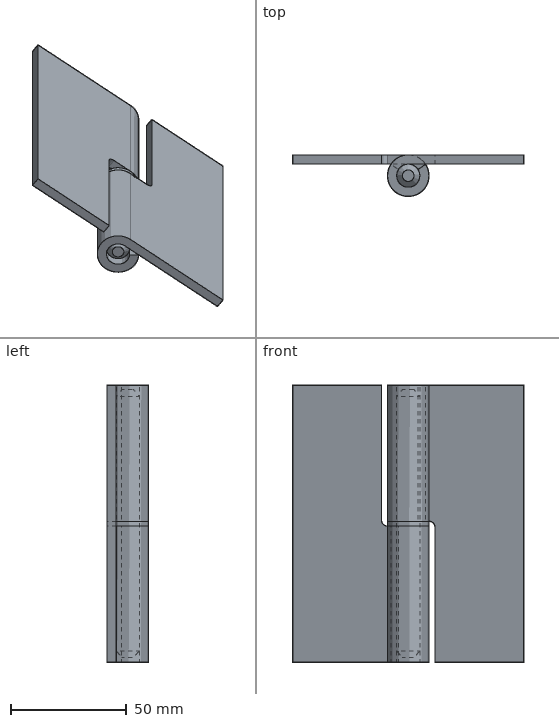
import cadquery as cq
import math

hinge_width = 100.0
hinge_height = 120.0
half_height = hinge_height / 2
sheet_thickness = 4.0

knuckle_radius = 9.0
bore_radius = knuckle_radius - sheet_thickness
curl_end_gap = 0.1
curl_end_angle = math.asin((bore_radius - curl_end_gap) / knuckle_radius)

washer_thickness = 2.0
knuckle_length = (hinge_height - washer_thickness) / 2

slot_clearance = 2.5
slot_corner_radius = slot_clearance
slot_edge = knuckle_radius + slot_clearance

pin_recess = 2.0
pin_length = hinge_height - 2 * pin_recess
pin_chamfer_width = 2.5
pin_chamfer_height = 3.0


def polar_point(radius, angle):
    return (radius * math.cos(angle), radius * math.sin(angle))


def lower_leaf():
    """Leaf on the -X side, rolled into the lower knuckle."""
    end_angle = math.pi - curl_end_angle
    profile = (
        cq.Workplane("XY", origin=(0, 0, -half_height))
        .moveTo(-hinge_width / 2, knuckle_radius)
        .lineTo(0, knuckle_radius)
        .threePointArc((0, -knuckle_radius), polar_point(knuckle_radius, end_angle))
        .lineTo(*polar_point(bore_radius, end_angle))
        .threePointArc((0, -bore_radius), (0, bore_radius))
        .lineTo(-hinge_width / 2, bore_radius)
        .close()
    )
    rolled_sheet = profile.extrude(knuckle_length)

    knuckle_top = knuckle_length - half_height
    arc_middle = (
        -slot_edge + slot_corner_radius * (1 - math.cos(math.pi / 4)),
        knuckle_top + slot_corner_radius * (1 - math.sin(math.pi / 4)),
    )
    upper_plate = (
        cq.Workplane("XZ", origin=(0, knuckle_radius, 0))
        .moveTo(-hinge_width / 2, knuckle_top)
        .lineTo(-slot_edge + slot_corner_radius, knuckle_top)
        .threePointArc(arc_middle, (-slot_edge, knuckle_top + slot_corner_radius))
        .lineTo(-slot_edge, half_height)
        .lineTo(-hinge_width / 2, half_height)
        .close()
        .extrude(sheet_thickness)
    )
    return rolled_sheet.union(upper_plate)


def upper_leaf():
    """Leaf on the +X side: the lower leaf turned half a turn about the Y axis."""
    return lower_leaf().rotate((0, 0, 0), (0, 1, 0), 180)


def washer():
    return (
        cq.Workplane("XY", origin=(0, 0, -washer_thickness / 2))
        .circle(knuckle_radius)
        .circle(bore_radius)
        .extrude(washer_thickness)
    )


def pin():
    return (
        cq.Workplane("XY", origin=(0, 0, -pin_length / 2))
        .circle(bore_radius)
        .extrude(pin_length)
        .faces("<Z or >Z")
        .chamfer(pin_chamfer_height, pin_chamfer_width)
    )


leaf_with_lower_knuckle = lower_leaf()
leaf_with_upper_knuckle = upper_leaf()
spacer_washer = washer()
hinge_pin = pin()

result = cq.Compound.makeCompound([
    leaf_with_lower_knuckle.val(),
    leaf_with_upper_knuckle.val(),
    spacer_washer.val(),
    hinge_pin.val(),
])